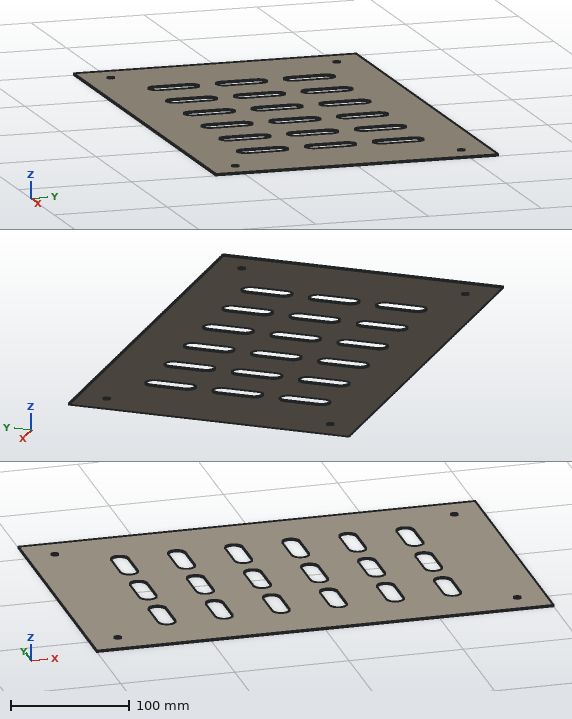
import cadquery as cq

plate_length = 400.0
plate_width = 250.0
plate_thickness = 1.5

hole_diameter = 6.0
hole_inset_x = plate_length / 16
hole_inset_y = plate_width / 10

slot_columns = 6
slot_rows = 3
slot_pitch_x = plate_length / 8
slot_pitch_y = 60.0
slot_length = 45.0
slot_width = 15.0

plate = cq.Workplane("XY").box(plate_length, plate_width, plate_thickness)

mounting_holes = (
    cq.Workplane("XY")
    .rect(plate_length - 2 * hole_inset_x, plate_width - 2 * hole_inset_y, forConstruction=True)
    .vertices()
    .circle(hole_diameter / 2)
    .extrude(plate_thickness, both=True)
)

slots = (
    cq.Workplane("XY")
    .rarray(slot_pitch_x, slot_pitch_y, slot_columns, slot_rows)
    .slot2D(slot_length, slot_width, angle=90)
    .extrude(plate_thickness, both=True)
)

result = plate.cut(mounting_holes).cut(slots)